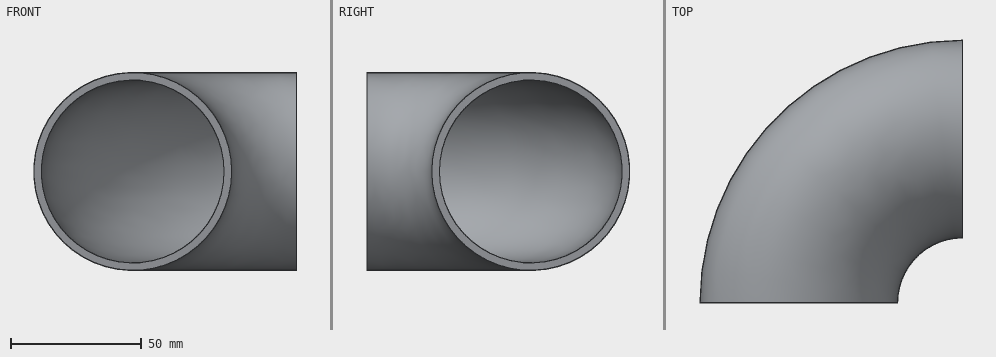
import cadquery as cq

overall_reach = 101.0
pipe_diameter = 76.1
wall_thickness = 2.9
bend_angle = 90.0

outer_radius = pipe_diameter / 2
inner_radius = outer_radius - wall_thickness
bend_radius = overall_reach - outer_radius

pipe_section = (
    cq.Workplane("XZ")
    .center(-bend_radius, 0)
    .circle(outer_radius)
    .circle(inner_radius)
)
axis_start = (bend_radius, 0)
axis_end = (bend_radius, -1)

result = pipe_section.revolve(bend_angle, axis_start, axis_end)